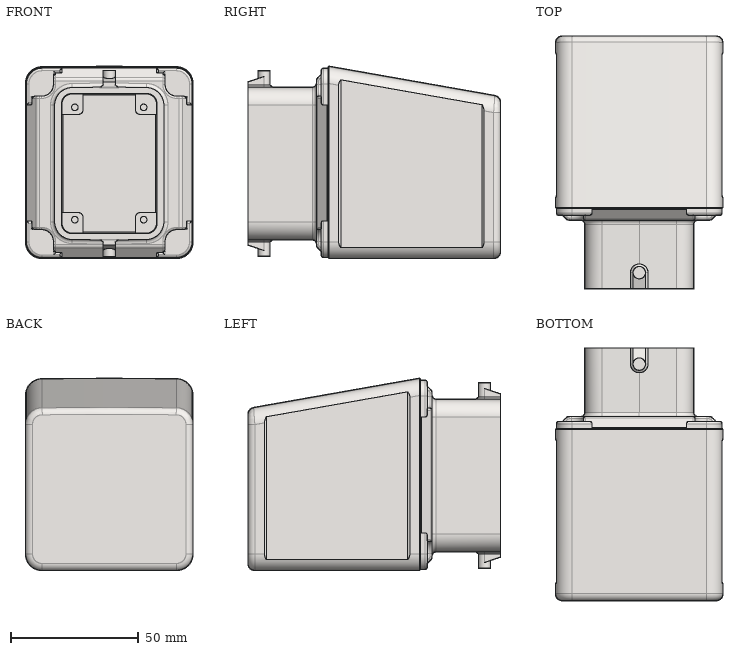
import cadquery as cq
import math


length = 99.5
width = 66.0
height = 75.7
roof_slope = 10.0
roof_crown = 0.3

face_y = 27.0
pad_y = 28.9
body_y = 31.6

corner_radius = 6.6
back_radius = 2.8
rim_chamfer = 0.4

flange_inset = 0.4
flange_top_inset = 0.8
flange_width = width - 2 * flange_inset
flange_height = height - flange_inset - flange_top_inset
flange_radius = corner_radius - flange_inset
flange_mid_z = flange_inset + flange_height / 2
flange_chamfer = 4.3
flange_edge_radius = 1.9

pad_arm_x = 18.6
pad_arm_z = 22.8
pad_arm_inner_x = 29.8
pad_arm_inner_z = 35.1
pad_edge_radius = 1.0
pocket_x = 22.0
pocket_z = 26.3
pocket_radius = 4.6
pocket_lip_radius = 0.9
pad_overlap = 1.1

shroud_width = 43.0
shroud_height = 59.6
shroud_ridge = 0.3
shroud_radius = 7.0
shroud_mid_z = 37.4
shroud_root_radius = 1.6
cavity_width = 37.6
cavity_height = 55.1
cavity_radius = 4.1
cavity_draft = 1.3
cavity_depth = 25.7

post_front_y = 9.0
post_inner_x = 10.2
post_inner_z = 19.3
post_radius = 2.0
screw_x = 13.5
screw_z = 22.1
screw_diameter = 2.6
screw_depth = 9.9

lug_y = 6.4
lug_diameter = 4.9
lug_tip = 36.5
lug_base_height = 1.1
lug_base_flare = 1.3
ramp_back = 34.2
ramp_front = 32.1

panel_depth = 0.4
panel_front_y = 35.7
panel_back_y = 92.9
panel_front_run = 0.9
panel_back_run = 0.7
panel_bottom_z = 4.0
panel_roof_gap = 4.3

overlap = 1.0
corner_signs = [(sx, sz) for sx in (-1, 1) for sz in (-1, 1)]
roof_tan = math.tan(math.radians(roof_slope))


def roof_z(y):
    """Height of the middle of the roof at a place along Y."""
    return height - (y - body_y - rim_chamfer) * roof_tan


def section(y, z=0.0):
    """Plane across Y, facing the mouth; a negative extrusion runs to the back."""
    return cq.Workplane("XZ", origin=(0, y, z))


def block(x0, x1, y0, y1, z0, z1):
    """Box between two opposite corners, given in any order."""
    size = (abs(x1 - x0), abs(y1 - y0), abs(z1 - z0))
    middle = ((x0 + x1) / 2, (y0 + y1) / 2, (z0 + z1) / 2)
    return cq.Workplane("XY").box(*size).translate(middle)


def make_body():
    """Block under a sloped, slightly crowned roof, rounded along its length and at the back."""
    half = width / 2
    slope = math.radians(roof_slope)
    roof_plane = cq.Plane(
        origin=(0, body_y + rim_chamfer, height),
        xDir=(1, 0, 0),
        normal=(0, -math.cos(slope), math.sin(slope)),
    )
    roof = (
        cq.Workplane(roof_plane)
        .moveTo(half, -roof_crown).lineTo(half, -2 * height)
        .lineTo(-half, -2 * height).lineTo(-half, -roof_crown)
        .threePointArc((0, 0), (half, -roof_crown)).close()
        .extrude(2 * length, both=True)
    )
    body = block(-half, half, body_y, length, 0, 2 * height).intersect(roof)
    long_edges = cq.selectors.BoxSelector(
        (-width, body_y + overlap, -overlap), (width, length - overlap, height)
    )
    body = body.edges(long_edges).edges("<X or >X").fillet(corner_radius)
    body = body.faces(">Y").edges().fillet(back_radius)
    return body.faces("<Y").edges().chamfer(rim_chamfer)


def make_panel_recess(side):
    """Cutter for one side: a shallow tray with sloped ends and a roof-parallel top."""
    outer = side * (width / 2 + overlap)
    skin = side * width / 2
    floor = side * (width / 2 - panel_depth)
    tray = [
        (outer, panel_front_y),
        (skin, panel_front_y),
        (floor, panel_front_y + panel_front_run),
        (floor, panel_back_y - panel_back_run),
        (skin, panel_back_y),
        (outer, panel_back_y),
    ]
    plan = cq.Workplane("XY").polyline(tray).close().extrude(height)
    side_view = [
        (0, panel_bottom_z),
        (length, panel_bottom_z),
        (length, roof_z(length) - panel_roof_gap),
        (0, roof_z(0) - panel_roof_gap),
    ]
    limits = cq.Workplane("YZ").polyline(side_view).close().extrude(width, both=True)
    return plan.intersect(limits)


def flange_prism(front_y):
    """Rounded flange outline from a front plane back into the body."""
    depth = body_y + overlap - front_y
    prism = section(front_y, flange_mid_z).rect(flange_width, flange_height).extrude(-depth)
    return prism.edges("|Y").fillet(flange_radius)


def corner_area(inner_x, inner_z, radius, front_y, back_y):
    """Block outside (inner_x, inner_z) in the +X +Z flange corner, inner edge rounded."""
    area = block(inner_x, width, front_y, back_y, inner_z, height)
    return area.edges("|Y and <X and <Z").fillet(radius)


def make_pad():
    """Pad of the +X +Z corner, before it is moved to the flange centre."""
    back_y = body_y + overlap
    area = corner_area(
        pocket_x - pad_overlap, pocket_z - pad_overlap, pocket_radius + pad_overlap, pad_y, back_y
    )
    arm_along_x = block(pad_arm_x, width, pad_y, back_y, pad_arm_inner_z, height)
    arm_along_z = block(pad_arm_inner_x, width, pad_y, back_y, pad_arm_z, height)
    outline = flange_prism(pad_y).translate((0, 0, -flange_mid_z))
    pad = outline.intersect(area.union(arm_along_x).union(arm_along_z))
    return pad.faces("<Y").edges().fillet(pad_edge_radius)


def in_corner(shape, sx, sz, mid_z):
    """Mirror a +X +Z corner shape into the chosen corner around mid_z."""
    if sx < 0:
        shape = shape.mirror("YZ")
    if sz < 0:
        shape = shape.mirror("XY")
    return shape.translate((0, 0, mid_z))


def make_shroud():
    """Solid plug with ridged top and bottom that the cavity is cut from."""
    half_x = shroud_width / 2
    half_z = shroud_height / 2
    ridge = half_z + shroud_ridge
    outline = [
        (-half_x, -half_z), (0, -ridge), (half_x, -half_z),
        (half_x, half_z), (0, ridge), (-half_x, half_z),
    ]
    shroud = section(0, shroud_mid_z).polyline(outline).close().extrude(-(face_y + overlap))
    return shroud.edges("|Y").edges("<X or >X").fillet(shroud_radius)


def face_edges(x0, x1, z0, z1):
    """Selector for edges on the flange face; heights are from the shroud centre."""
    near = 0.05
    return cq.selectors.BoxSelector(
        (x0, face_y - near, z0 + shroud_mid_z), (x1, face_y + near, z1 + shroud_mid_z)
    )


def make_front():
    """Flange and shroud plug in one piece, with the corner pockets."""
    flange = flange_prism(face_y).faces("<Y").edges().chamfer(flange_chamfer)
    flange = flange.faces("<Y").edges().fillet(flange_edge_radius)
    front = flange.union(make_shroud())
    half_x = shroud_width / 2 + overlap
    half_z = shroud_height / 2 + overlap
    front = front.edges(face_edges(-half_x, half_x, -half_z, half_z)).fillet(shroud_root_radius)
    pocket = corner_area(pocket_x, pocket_z, pocket_radius, 0, pad_y)
    for sx, sz in corner_signs:
        front = front.cut(in_corner(pocket, sx, sz, flange_mid_z))
    lip_x = pocket_x - overlap
    lip_z = pocket_z - overlap
    for sx, sz in corner_signs:
        x_range = sorted((sx * lip_x, sx * width / 2))
        z_range = sorted((sz * lip_z, sz * height / 2))
        front = front.edges(face_edges(*x_range, *z_range)).fillet(pocket_lip_radius)
    return front


def make_cavity():
    """Drafted pocket with rounded corners, open at the mouth."""
    blank = cq.Sketch().rect(cavity_width, cavity_height).vertices().fillet(cavity_radius)
    return section(0, shroud_mid_z).placeSketch(blank).extrude(-cavity_depth, taper=cavity_draft)


def make_post():
    """Screw post of the +X +Z cavity corner, reaching into the shroud walls."""
    post = block(
        post_inner_x, cavity_width / 2 + overlap,
        post_front_y, cavity_depth + overlap,
        post_inner_z, cavity_height / 2 + overlap,
    )
    post = post.edges("|Y and <X and <Z").fillet(post_radius)
    post = post.edges("|Y and >X and >Z").fillet(cavity_radius)
    screw = section(post_front_y).center(screw_x, screw_z).circle(screw_diameter / 2)
    return post.cut(screw.extrude(-screw_depth))


def make_lug():
    """Upper locking lug: flared foot, round pin and a ramp rising from the mouth."""
    radius = lug_diameter / 2
    foot_radius = radius + lug_base_flare
    plan = cq.Workplane("XY", origin=(0, 0, shroud_height / 2))
    flare_angle = math.degrees(math.atan(lug_base_flare / lug_base_height))
    foot = (
        plan.moveTo(-foot_radius, -overlap - foot_radius)
        .lineTo(foot_radius, -overlap - foot_radius)
        .lineTo(foot_radius, lug_y)
        .threePointArc((0, lug_y + foot_radius), (-foot_radius, lug_y))
        .close()
        .extrude(lug_base_height + shroud_ridge, taper=flare_angle)
    )
    foot = foot.intersect(block(-width, width, 0, length, 0, height))
    pin = plan.center(0, lug_y).circle(radius).extrude(lug_tip - shroud_height / 2)
    ramp_side = [
        (0, shroud_height / 2), (lug_y, shroud_height / 2), (lug_y, ramp_back), (0, ramp_front),
    ]
    ramp = cq.Workplane("YZ").polyline(ramp_side).close().extrude(radius, both=True)
    return foot.union(pin).union(ramp)


result = make_body().union(make_front())
for side in (-1, 1):
    result = result.cut(make_panel_recess(side))

pad = make_pad()
for sx, sz in corner_signs:
    result = result.union(in_corner(pad, sx, sz, flange_mid_z), clean=False)

result = result.cut(make_cavity())
post = make_post()
for sx, sz in corner_signs:
    result = result.union(in_corner(post, sx, sz, shroud_mid_z), clean=False)

lug = make_lug()
for sz in (-1, 1):
    result = result.union(in_corner(lug, 1, sz, shroud_mid_z), clean=False)